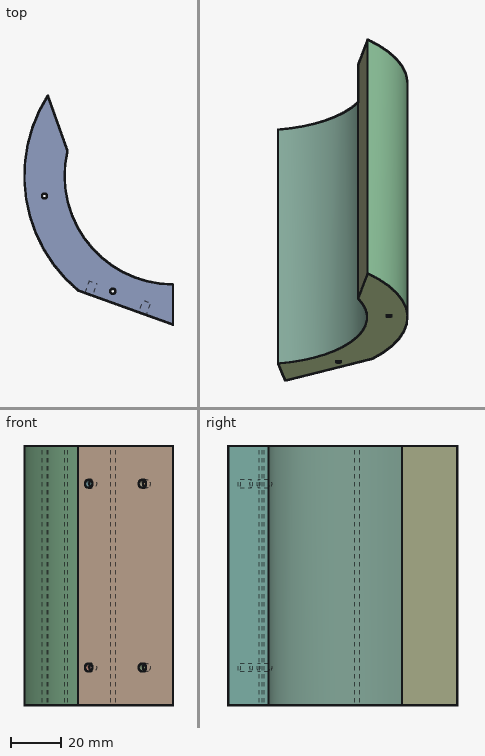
import cadquery as cq
import math

HEIGHT = 102.8
OUTER_RADIUS = 59.0
INNER_RADIUS = 43.0

TIP_Y = 31.9
INNER_END_Y = 9.9
FLAT_TILT = 19.8

PIN_DIAMETER = 2.0
PIN_CIRCLE_RADIUS = 51.6
PIN_ANGLES = (188.9, 242.4)

SCREW_DIAMETER = 3.2
SCREW_DEPTH = 5.0
SCREW_DISTANCES = (13.0, 35.6)
SCREW_END_OFFSET = 15.0


def polar(radius, angle):
    """Point at a radius and angle in degrees about the Z axis."""
    turn = math.radians(angle)
    return (radius * math.cos(turn), radius * math.sin(turn))


def angle_at_height(radius, y):
    """Angle of the point on the left half of a circle that lies at the given Y."""
    return 180 - math.degrees(math.asin(y / radius))


def shell():
    bottom_angle = 270
    corner_angle = bottom_angle - 2 * FLAT_TILT
    tip_angle = angle_at_height(OUTER_RADIUS, TIP_Y)
    inner_end_angle = angle_at_height(INNER_RADIUS, INNER_END_Y)
    inner_mid_angle = (inner_end_angle + bottom_angle) / 2
    leftmost_angle = 180
    return (
        cq.Workplane("XY")
        .moveTo(*polar(OUTER_RADIUS, bottom_angle))
        .lineTo(*polar(OUTER_RADIUS, corner_angle))
        .threePointArc(polar(OUTER_RADIUS, leftmost_angle), polar(OUTER_RADIUS, tip_angle))
        .lineTo(*polar(INNER_RADIUS, inner_end_angle))
        .threePointArc(polar(INNER_RADIUS, inner_mid_angle), polar(INNER_RADIUS, bottom_angle))
        .close()
        .extrude(HEIGHT)
    )


def pin_holes():
    centers = [polar(PIN_CIRCLE_RADIUS, angle) for angle in PIN_ANGLES]
    return cq.Workplane("XY").pushPoints(centers).circle(PIN_DIAMETER / 2).extrude(HEIGHT)


def screw_holes():
    tilt = math.radians(FLAT_TILT)
    flat_plane = cq.Plane(
        origin=(0, -OUTER_RADIUS, 0),
        xDir=(-math.cos(tilt), math.sin(tilt), 0),
        normal=(math.sin(tilt), math.cos(tilt), 0),
    )
    heights = (SCREW_END_OFFSET, HEIGHT - SCREW_END_OFFSET)
    centers = [(distance, z) for distance in SCREW_DISTANCES for z in heights]
    return cq.Workplane(flat_plane).pushPoints(centers).circle(SCREW_DIAMETER / 2).extrude(SCREW_DEPTH)


result = shell().cut(pin_holes()).cut(screw_holes())